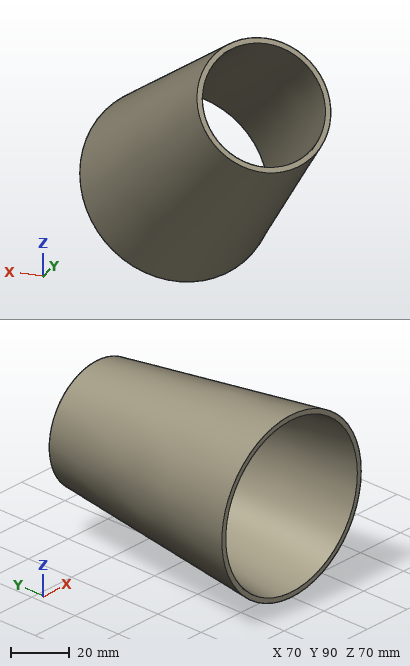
import cadquery as cq

length = 90.0
large_diameter = 70.0
small_diameter = 48.3
wall = 2.0

large_radius = large_diameter / 2
small_radius = small_diameter / 2
front_y = -length / 2
back_y = length / 2

wall_section = cq.Workplane("XY").polyline([
    (large_radius - wall, front_y),
    (large_radius, front_y),
    (small_radius, back_y),
    (small_radius - wall, back_y),
]).close()

result = wall_section.revolve(360, (0, 0, 0), (0, 1, 0))